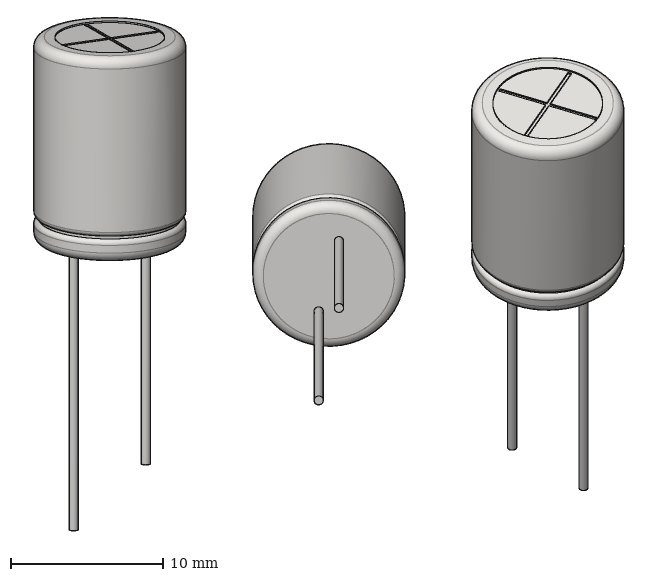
import cadquery as cq
import math

CASE_DIAMETER = 10.0
CASE_HEIGHT = 14.0
RIM_FLAT_DIAMETER = 8.6

CRIMP_HEIGHT = 1.65
CRIMP_DIAMETER = 9.3
CRIMP_FLOOR_WIDTH = 0.2

DISC_DIAMETER = 7.2
DISC_RECESS = 0.1
SCORE_WIDTH = 0.25
SCORE_DEPTH = 0.1
SCORE_LENGTH = 6.95
SCORE_ANGLES = (45, 135)

OVERALL_HEIGHT = 34
LEAD_DIAMETER = 0.6
LEAD_PITCH = 5.0
LONG_LEAD_LENGTH = OVERALL_HEIGHT - CASE_HEIGHT
SHORT_LEAD_LENGTH = 15.0

CASE_RADIUS = CASE_DIAMETER / 2
RIM_RADIUS = RIM_FLAT_DIAMETER / 2
CORNER_ROUND = CASE_RADIUS - RIM_RADIUS
CRIMP_RADIUS = CRIMP_DIAMETER / 2
LIP_ROUND = CASE_RADIUS - CRIMP_RADIUS
ARC_MIDDLE = math.sqrt(0.5)


def case_blank():
    """Revolve the case wall: rounded ends and a crimp groove between two rounded lips."""
    floor_bottom = CRIMP_HEIGHT - CRIMP_FLOOR_WIDTH / 2
    floor_top = CRIMP_HEIGHT + CRIMP_FLOOR_WIDTH / 2
    lower_lip = floor_bottom - LIP_ROUND
    upper_lip = floor_top + LIP_ROUND
    corner_middle = RIM_RADIUS + CORNER_ROUND * ARC_MIDDLE
    corner_rise = CORNER_ROUND * (1 - ARC_MIDDLE)
    lip_middle = CRIMP_RADIUS + LIP_ROUND * ARC_MIDDLE
    lip_rise = LIP_ROUND * ARC_MIDDLE
    return (
        cq.Workplane("XZ")
        .moveTo(0, 0)
        .lineTo(RIM_RADIUS, 0)
        .threePointArc((corner_middle, corner_rise), (CASE_RADIUS, CORNER_ROUND))
        .lineTo(CASE_RADIUS, lower_lip)
        .threePointArc((lip_middle, lower_lip + lip_rise), (CRIMP_RADIUS, floor_bottom))
        .lineTo(CRIMP_RADIUS, floor_top)
        .threePointArc((lip_middle, upper_lip - lip_rise), (CASE_RADIUS, upper_lip))
        .lineTo(CASE_RADIUS, CASE_HEIGHT - CORNER_ROUND)
        .threePointArc((corner_middle, CASE_HEIGHT - corner_rise), (RIM_RADIUS, CASE_HEIGHT))
        .lineTo(0, CASE_HEIGHT)
        .close()
        .revolve(360, (0, 0, 0), (0, 1, 0))
    )


def disc_recess():
    """Shallow round recess that leaves the rim standing above the end disc."""
    return (
        cq.Workplane("XY")
        .workplane(offset=CASE_HEIGHT - DISC_RECESS)
        .circle(DISC_DIAMETER / 2)
        .extrude(DISC_RECESS)
    )


def vent_score(angle):
    """One straight score line across the end disc."""
    score_floor = CASE_HEIGHT - DISC_RECESS - SCORE_DEPTH
    return (
        cq.Workplane("XY")
        .workplane(offset=score_floor)
        .rect(SCORE_LENGTH, SCORE_WIDTH)
        .extrude(SCORE_DEPTH)
        .rotate((0, 0, 0), (0, 0, 1), angle)
    )


def make_case():
    case = case_blank().cut(disc_recess())
    for angle in SCORE_ANGLES:
        case = case.cut(vent_score(angle))
    return case


def make_lead(x, length):
    """Round wire hanging from the underside of the case."""
    return cq.Workplane("XY").center(x, 0).circle(LEAD_DIAMETER / 2).extrude(-length)


LEADS = (
    (-LEAD_PITCH / 2, LONG_LEAD_LENGTH),
    (LEAD_PITCH / 2, SHORT_LEAD_LENGTH),
)

case = make_case()
leads = [make_lead(x, length).val() for x, length in LEADS]

result = cq.Compound.makeCompound([case.val(), *leads])